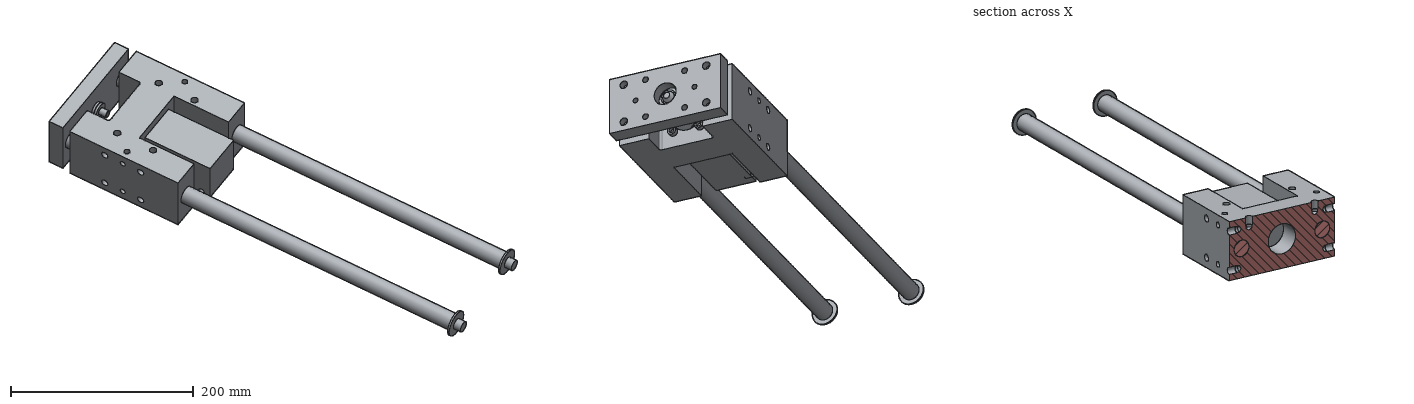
import cadquery as cq
import math


TOTAL_LENGTH = 526.0
ROD_DIAMETER = 20.0
ROD_SPACING = 104.5
ROD_OFFSET = ROD_SPACING / 2
WASHER_DIAMETER = 30.0
WASHER_THICKNESS = 2.0
TIP_DIAMETER = 12.5
TIP_LENGTH = 9.0

PLATE_THICKNESS = 18.0
PLATE_WIDTH = 134.5
PLATE_HEIGHT = 68.0
CORNER_HOLE_DIAMETER = 9.0
CORNER_HOLE_OFFSET = 50.0
CORNER_HOLE_DEPTH = 9.0
INNER_HOLE_DIAMETER = 7.0
INNER_HOLE_CORE_DIAMETER = 6.0
INNER_HOLE_OFFSET = 23.5
PLATE_DOWEL_DIAMETER = 6.0
PLATE_DOWEL_OFFSET = 36.0
PLATE_DOWEL_DEPTH = 12.5
INNER_THREAD_DEPTH = 10.0
INNER_CORE_DEPTH = 12.5
POCKET_DIAMETER = 26.5
POCKET_DEPTH = 12.5

NUB_DIAMETER = 17.5
NUB_DISC_LENGTH = 4.0
CONE_BASE_DIAMETER = 13.5
CONE_TIP_DIAMETER = 7.5
CONE_LENGTH = 4.0
NECK_DIAMETER = 17.0
NECK_LENGTH = 3.0
FLANGE_DIAMETER = 18.5
FLANGE_THICKNESS = 3.0
STEM_DIAMETER = 8.5
STEM_LENGTH = 9.5
STEM_CHAMFER = 0.5

BLOCK_START = 27.5
BLOCK_LENGTH = 140.0
BLOCK_WIDTH = 137.0
BLOCK_HEIGHT = 70.0
FRONT_NOTCH_DEPTH = 28.5
FRONT_NOTCH_WIDTH = 65.0
NOTCH_FILLET = 2.5
REAR_NOTCH_DEPTH = 70.5
REAR_NOTCH_WIDTH = 71.0
BORE_DIAMETER = 34.5

HOLE_ROW_CENTER = 95.5
HOLE_ROW_HALF_PITCH = 23.0
THREAD_DIAMETER = 8.0
THREAD_CORE_DIAMETER = 7.0
THREAD_CORE_DEPTH = 13.0
DRILL_TIP_ANGLE = 118.0
THREAD_DEPTH = 10.0
DOWEL_DIAMETER = 6.5
DOWEL_DEPTH = 8.0
TOP_THREAD_OFFSET = 42.5
TOP_DOWEL_OFFSET = 59.5

CYLINDER_SIDE = 48.5
CYLINDER_END = 181.0
PORT_DIAMETER = 7.0
PORT_DEPTH = 8.0
PORT_X = 170.0
PORT_Z = -20.5
SCREW_DIAMETER = 10.0
SCREW_HEAD_LENGTH = 5.0
SCREW_SOCKET_DIAMETER = 6.0
SCREW_SOCKET_DEPTH = 4.0
SCREW_OFFSET = 16.5

BLOCK_END = BLOCK_START + BLOCK_LENGTH
NOTCH_FLOOR_X = BLOCK_START + FRONT_NOTCH_DEPTH
REAR_FLOOR_X = BLOCK_END - REAR_NOTCH_DEPTH


def box(x_start, x_end, width, height):
    """Box between two X places, centred on Y = Z = 0."""
    return cq.Workplane("XY").box(
        x_end - x_start, width, height, centered=(False, True, True)
    ).translate((x_start, 0, 0))


def round_bar(x_start, x_end, diameter, y=0.0, z=0.0):
    """Cylinder along X between two X places."""
    return (
        cq.Workplane("YZ", origin=(x_start, y, z))
        .circle(diameter / 2)
        .extrude(x_end - x_start)
    )


def drill(face_plane, points, diameter, depth):
    """Blind holes that start on a plane and run against its normal."""
    return face_plane.pushPoints(points).circle(diameter / 2).extrude(-depth)


def drill_with_tip(face_plane, points, diameter, depth):
    """Blind holes that end in the cone left by the drill tip."""
    tip_length = diameter / 2 / math.tan(math.radians(DRILL_TIP_ANGLE / 2))
    tip_plane = face_plane.workplane(offset=-depth)
    tips = cq.Workplane("XY")
    for point in tip_plane.pushPoints(points).vals():
        direction = -face_plane.plane.zDir
        tips = tips.add(cq.Solid.makeCone(diameter / 2, 0, tip_length, point.toTuple(), direction))
    return drill(face_plane, points, diameter, depth).union(tips.combine())


def mirrored_points(a, b):
    """The four points (+-a, +-b)."""
    return [(sign_a * a, sign_b * b) for sign_a in (-1, 1) for sign_b in (-1, 1)]


def make_plate():
    """Front plate with blind holes and a coupling pocket in its front face."""
    plate = box(0, PLATE_THICKNESS, PLATE_WIDTH, PLATE_HEIGHT)
    front = cq.Plane(origin=(0, 0, 0), xDir=(0, -1, 0), normal=(-1, 0, 0))
    face = cq.Workplane(front)
    corner_holes = mirrored_points(CORNER_HOLE_OFFSET, HOLE_ROW_HALF_PITCH)
    inner_holes = mirrored_points(INNER_HOLE_OFFSET, HOLE_ROW_HALF_PITCH)
    dowel_holes = [(-PLATE_DOWEL_OFFSET, 0), (PLATE_DOWEL_OFFSET, 0)]
    plate = plate.cut(drill(face, corner_holes, CORNER_HOLE_DIAMETER, CORNER_HOLE_DEPTH))
    plate = plate.cut(drill(face, inner_holes, INNER_HOLE_DIAMETER, INNER_THREAD_DEPTH))
    plate = plate.cut(drill(face, inner_holes, INNER_HOLE_CORE_DIAMETER, INNER_CORE_DEPTH))
    plate = plate.cut(drill(face, dowel_holes, PLATE_DOWEL_DIAMETER, PLATE_DOWEL_DEPTH))
    return plate.cut(drill(face, [(0, 0)], POCKET_DIAMETER, POCKET_DEPTH))


def make_rod(y):
    """Guide rod from the plate back, with end washer and screw tip."""
    tip_start = TOTAL_LENGTH - TIP_LENGTH
    washer_start = tip_start - WASHER_THICKNESS
    rod = round_bar(PLATE_THICKNESS, washer_start, ROD_DIAMETER, y)
    washer = round_bar(washer_start, tip_start, WASHER_DIAMETER, y)
    tip = round_bar(tip_start, TOTAL_LENGTH, TIP_DIAMETER, y)
    return rod.union(washer).union(tip)


def make_nub():
    """Coupling end on the pocket floor: a disc that carries a blunt cone."""
    disc_start = POCKET_DEPTH - NUB_DISC_LENGTH
    disc = round_bar(disc_start, POCKET_DEPTH, NUB_DIAMETER)
    cone = (
        cq.Workplane("XY")
        .moveTo(disc_start, 0)
        .lineTo(disc_start, CONE_BASE_DIAMETER / 2)
        .lineTo(disc_start - CONE_LENGTH, CONE_TIP_DIAMETER / 2)
        .lineTo(disc_start - CONE_LENGTH, 0)
        .close()
        .revolve(360, (0, 0, 0), (1, 0, 0))
    )
    return disc.union(cone)


def make_stem():
    """Neck, flange and stem behind the plate."""
    flange_start = PLATE_THICKNESS + NECK_LENGTH
    stem_start = flange_start + FLANGE_THICKNESS
    neck = round_bar(PLATE_THICKNESS, flange_start, NECK_DIAMETER)
    flange = round_bar(flange_start, stem_start, FLANGE_DIAMETER)
    stem = round_bar(stem_start, stem_start + STEM_LENGTH, STEM_DIAMETER)
    stem = stem.faces(">X").chamfer(STEM_CHAMFER)
    return neck.union(flange).union(stem)


def make_carriage():
    """Plate, coupling and both guide rods, which slide together."""
    carriage = make_plate().union(make_nub()).union(make_stem())
    for y in (-ROD_OFFSET, ROD_OFFSET):
        carriage = carriage.union(make_rod(y))
    return carriage


def make_block():
    """Block with a notch at each end, a bore through the web between them and rod guides."""
    block = box(BLOCK_START, BLOCK_END, BLOCK_WIDTH, BLOCK_HEIGHT)
    notch = box(BLOCK_START, NOTCH_FLOOR_X, FRONT_NOTCH_WIDTH, BLOCK_HEIGHT)
    notch = notch.edges("|Z and >X").fillet(NOTCH_FILLET)
    rear_notch = box(REAR_FLOOR_X, BLOCK_END, REAR_NOTCH_WIDTH, BLOCK_HEIGHT)
    bore = round_bar(NOTCH_FLOOR_X, REAR_FLOOR_X, BORE_DIAMETER)
    block = block.cut(notch).cut(rear_notch).cut(bore)
    for y in (-ROD_OFFSET, ROD_OFFSET):
        block = block.cut(round_bar(BLOCK_START, BLOCK_END, ROD_DIAMETER, y))
    return block


def threaded_holes(face, points):
    """Blind threads over a narrower drilled core."""
    core = drill_with_tip(face, points, THREAD_CORE_DIAMETER, THREAD_CORE_DEPTH)
    thread = drill(face, points, THREAD_DIAMETER, THREAD_DEPTH)
    return core.union(thread)


def top_holes():
    """Threads and dowel holes of the top."""
    face = cq.Workplane("XY", origin=(HOLE_ROW_CENTER, 0, BLOCK_HEIGHT / 2))
    dowels = [(0, -TOP_DOWEL_OFFSET), (0, TOP_DOWEL_OFFSET)]
    threads = threaded_holes(face, mirrored_points(HOLE_ROW_HALF_PITCH, TOP_THREAD_OFFSET))
    return threads.union(drill(face, dowels, DOWEL_DIAMETER, DOWEL_DEPTH))


def side_holes():
    """Threads and dowel holes of the -Y side."""
    face = cq.Workplane("XZ", origin=(HOLE_ROW_CENTER, -BLOCK_WIDTH / 2, 0))
    dowels = [(0, -HOLE_ROW_HALF_PITCH), (0, HOLE_ROW_HALF_PITCH)]
    threads = threaded_holes(face, mirrored_points(HOLE_ROW_HALF_PITCH, HOLE_ROW_HALF_PITCH))
    return threads.union(drill(face, dowels, DOWEL_DIAMETER, DOWEL_DEPTH))


def make_cylinder():
    """Square cylinder body with an air port in its -Y side."""
    cylinder = box(REAR_FLOOR_X, CYLINDER_END, CYLINDER_SIDE, CYLINDER_SIDE)
    side = cq.Workplane("XZ", origin=(0, -CYLINDER_SIDE / 2, 0))
    return cylinder.cut(drill_with_tip(side, [(PORT_X, PORT_Z)], PORT_DIAMETER, PORT_DEPTH))


def make_screw_head(y, z):
    """Socket screw head on the floor of the front notch."""
    head_start = NOTCH_FLOOR_X - SCREW_HEAD_LENGTH
    head = round_bar(head_start, NOTCH_FLOOR_X, SCREW_DIAMETER, y, z)
    socket = round_bar(head_start, head_start + SCREW_SOCKET_DEPTH, SCREW_SOCKET_DIAMETER, y, z)
    return head.cut(socket)


def make_housing():
    """Block, cylinder and screw heads; the +Y side repeats the holes of the -Y side."""
    side = side_holes()
    housing = make_block().cut(top_holes()).cut(side).cut(side.mirror("XZ"))
    housing = housing.union(make_cylinder())
    for y, z in mirrored_points(SCREW_OFFSET, SCREW_OFFSET):
        housing = housing.union(make_screw_head(y, z))
    return housing


carriage = make_carriage()
housing = make_housing()

result = cq.Compound.makeCompound([carriage.val(), housing.val()])